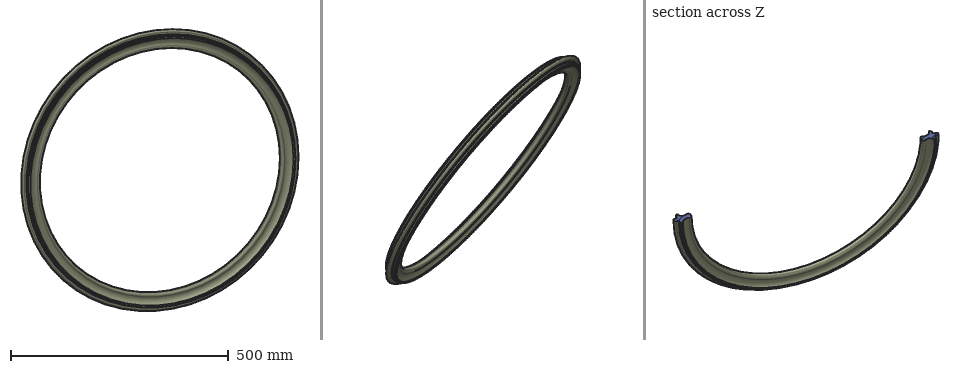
import cadquery as cq

outer_radius = 336.0
crown_edge_radius = 331.0
shoulder_radius = 649.0 / 2
lip_center_radius = 320.5
waist_radius = 305.0
bead_edge_radius = 300.0
bore_radius = 291.5

lip_half_width = 33.0 / 2
crown_half_width = 5.5
shoulder_half_width = 13.0
waist_half_width = 6.0
bead_edge_half_width = 7.5
bead_half_width = 8.0
bore_half_width = 4.0

foot_width = 2.0
foot_height = foot_width / 2
lip_round = 2.0

crown_edge = (crown_half_width, crown_edge_radius)
lip_center_x = lip_half_width - lip_round
lip_top = (lip_center_x, lip_center_radius + lip_round)
lip_tip = (lip_half_width, lip_center_radius)
lip_bottom = (lip_center_x, lip_center_radius - lip_round)
waist = (waist_half_width, waist_radius)
bead_edge = (bead_edge_half_width, bead_edge_radius)
bead_bulge = (bead_half_width, (bead_edge_radius + bore_radius) / 2)
bore_edge = (bore_half_width, bore_radius)

shoulder_outline = [
    (crown_half_width, shoulder_radius + foot_height),
    (crown_half_width + foot_width, shoulder_radius),
    (shoulder_half_width, shoulder_radius),
    lip_top,
]


def mirrored(point):
    """Return the matching point on the -X half of the section."""
    x, radius = point
    return (-x, radius)


section = cq.Workplane("XY").moveTo(*mirrored(crown_edge))
section = section.threePointArc((0, outer_radius), crown_edge)

for corner in shoulder_outline:
    section = section.lineTo(*corner)
section = section.threePointArc(lip_tip, lip_bottom)
section = section.threePointArc(waist, bead_edge)
section = section.threePointArc(bead_bulge, bore_edge)

section = section.lineTo(*mirrored(bore_edge))
section = section.threePointArc(mirrored(bead_bulge), mirrored(bead_edge))
section = section.threePointArc(mirrored(waist), mirrored(lip_bottom))
section = section.threePointArc(mirrored(lip_tip), mirrored(lip_top))
for corner in reversed(shoulder_outline[:-1]):
    section = section.lineTo(*mirrored(corner))
section = section.close()

result = section.revolve(360, (0, 0, 0), (1, 0, 0))